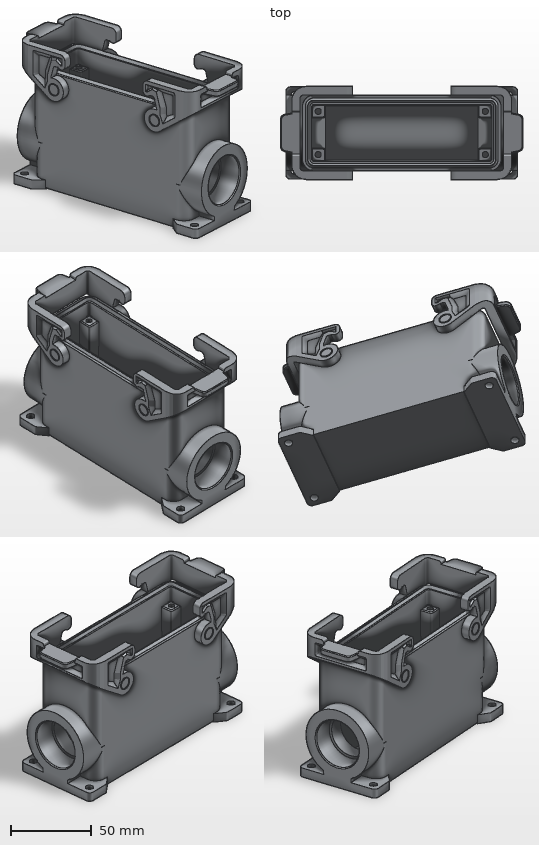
import cadquery as cq
import math

select_margin = 0.1

body_half_width = 23.45
upper_half_length = 61.5
lower_half_length = 60.0
upper_corner_radius = 7.1
lower_corner_radius = 7.5
body_bottom = 0.9
body_split = 30.3
body_top = 81.3
rim_height = 79.6
bead_inset = 1.8
bead_corner_radius = 5.3
bead_taper = 39.0
lip_inset = 3.3
lip_bottom = 79.3
lip_taper = 32.0
lip_corner_radius = 4.0

cavity_half_length = 55.9
cavity_half_width = 17.7
floor_half_width = 16.6
floor_half_length = 47.2
floor_height = 4.0
cavity_corner_radius = 2.5
block_top = 47.5
ramp_rise = 3.5
post_top = 68.8
post_inner_y = 9.3
post_corner_radius = 1.5
post_chamfer = 0.7
post_hole_x = 51.8
post_hole_y = 13.4
post_hole_radius = 1.9
post_hole_depth = 12.0

entry_end = 71.85
entry_height = 30.0
entry_radius = 23.4
entry_root = 52.0
bore_radius = 15.8
bore_end = 57.2
through_radius = 14.0
bore_chamfer = 0.7
neck_half_width = 10.2
neck_fillet = 1.2
neck_top = 12.0

foot_height = 6.2
foot_half_width = 28.65
foot_corner_radius = 3.0
foot_shoulder_x = 56.6
foot_inner_x = 49.6
foot_shoulder_radius = 2.5
foot_hole_x = 66.2
foot_hole_y = 23.1
foot_hole_radius = 2.5

lever_half_width = 29.0
lever_end = 68.1
lever_inner_end = 63.0
lever_top = 96.9
lever_corner_radius = 9.0
lever_facet_start_x = 64.1
lever_facet_end_x = 61.8
lever_facet_end_y = 28.4
lever_inner_radius = 2.0
lever_slope = math.radians(35.2)
pivot_x = 39.2
pivot_z = 71.7
pivot_radius = 7.65
pin_radius = 4.0
pin_gap = 0.35
pin_gap_depth = 0.4
hook_tip_x = 30.4
hook_radius = 3.8
side_pocket_depth = 2.2
side_pocket_radius = 2.2
end_pocket_radius = 1.8
tip_pocket_depth = 1.2

tab_end = 75.25
tab_top = 94.8
tab_bottom = 90.6
tab_tip_half_width = 11.1
tab_root_half_width = 13.3
tab_corner_radius = 3.6
tab_edge = 0.6
notch_half_width = 12.9
notch_edge_radius = 1.6
end_pocket_depth = 2.4


def rounded_block(half_length, half_width, radius, bottom, top):
    """Block centred on the Z axis with rounded upright edges."""
    block = cq.Workplane("XY").workplane(offset=bottom)
    block = block.rect(2 * half_length, 2 * half_width).extrude(top - bottom)
    return block.edges("|Z").fillet(radius)


def tapered_block(half_length, half_width, radius, start, end, taper):
    """Rounded block that narrows from its start height to its end height."""
    outline = cq.Sketch().rect(2 * half_length, 2 * half_width).vertices().fillet(radius)
    base = cq.Workplane("XY").workplane(offset=start).placeSketch(outline)
    return base.extrude(end - start, taper=taper)


def both_ends(shape):
    """A +X shape together with its mirror image at -X."""
    return shape.union(shape.mirror("YZ"))


def both_sides(shape):
    """A +Y shape together with its mirror image at -Y."""
    return shape.union(shape.mirror("XZ"))


def extrude_y(sketch, start, end):
    """Solid from an XZ outline, spanning start to end along Y."""
    return sketch.extrude(end - start).translate((0, end, 0))


def x_cylinder(radius, start, end):
    """Cylinder on the axis of the cable entry."""
    disc = cq.Workplane("YZ", origin=(start, 0, entry_height))
    return disc.circle(radius).extrude(end - start)


def tapered_pocket(plane, mouth, floor, depth):
    """Pocket cutter that narrows from its mouth outline to its floor outline."""
    sketch = plane.polyline(mouth).close().workplane(offset=-depth)
    return sketch.polyline(floor).close().loft(ruled=True)


def make_body():
    lower = rounded_block(lower_half_length, body_half_width, lower_corner_radius, body_bottom, body_split)
    upper = rounded_block(upper_half_length, body_half_width, upper_corner_radius, body_split, rim_height)
    bead = tapered_block(
        upper_half_length - bead_inset,
        body_half_width - bead_inset,
        bead_corner_radius,
        rim_height,
        body_top,
        bead_taper,
    )
    return lower.union(upper).union(bead)


def make_foot():
    points = [
        (entry_end, -foot_half_width),
        (entry_end, foot_half_width),
        (foot_shoulder_x, foot_half_width),
        (foot_inner_x, body_half_width),
        (foot_inner_x, -body_half_width),
        (foot_shoulder_x, -foot_half_width),
    ]
    foot = cq.Workplane("XY").polyline(points).close().extrude(foot_height)
    foot = foot.edges("|Z and >X").fillet(foot_corner_radius)
    foot = foot.edges("|Z and (>Y or <Y)").edges("<X").fillet(foot_shoulder_radius)
    holes = cq.Workplane("XY").pushPoints([(foot_hole_x, foot_hole_y), (foot_hole_x, -foot_hole_y)])
    return foot.cut(holes.circle(foot_hole_radius).extrude(foot_height))


def make_entry():
    boss = x_cylinder(entry_radius, entry_root, entry_end)
    neck = cq.Workplane("XY").workplane(offset=foot_height)
    neck = neck.center((entry_root + entry_end) / 2, 0)
    neck = neck.rect(entry_end - entry_root, 2 * neck_half_width).extrude(neck_top - foot_height)
    entry = boss.union(neck)
    corner_z = entry_height - math.sqrt(entry_radius**2 - neck_half_width**2)
    corners = cq.selectors.BoxSelector(
        (entry_root, -entry_radius, corner_z - select_margin),
        (entry_end, entry_radius, corner_z + select_margin),
    )
    return entry.edges("|X").edges(corners).fillet(neck_fillet)


def make_bore():
    bore = x_cylinder(bore_radius, bore_end, entry_end)
    through = x_cylinder(through_radius, floor_half_length, entry_end)
    mouth = cq.Workplane("YZ", origin=(entry_end, 0, entry_height)).circle(bore_radius + bore_chamfer)
    mouth = mouth.workplane(offset=-bore_chamfer).circle(bore_radius).loft()
    return bore.union(through).union(mouth)


def make_cavity():
    lip = tapered_block(
        upper_half_length - lip_inset,
        body_half_width - lip_inset,
        lip_corner_radius,
        body_top,
        lip_bottom,
        lip_taper,
    )
    upper = rounded_block(cavity_half_length, cavity_half_width, cavity_corner_radius, post_top, body_top)
    lower_half = [
        (0, floor_height),
        (floor_half_length, floor_height),
        (floor_half_length, block_top),
        (cavity_half_length, block_top + ramp_rise),
        (cavity_half_length, post_top),
        (0, post_top),
    ]
    lower_sketch = cq.Workplane("XZ").polyline(lower_half).close()
    lower = extrude_y(lower_sketch, -body_half_width, body_half_width)
    section = [
        (-floor_half_width, floor_height),
        (floor_half_width, floor_height),
        (cavity_half_width, post_top),
        (-cavity_half_width, post_top),
    ]
    drafted = cq.Workplane("YZ").polyline(section).close().extrude(cavity_half_length, both=True)
    return both_ends(lower).intersect(drafted).union(upper).union(lip)


def make_posts():
    length = cavity_half_length - floor_half_length
    width = cavity_half_width - post_inner_y
    post = cq.Workplane("XY").workplane(offset=body_bottom)
    post = post.center(floor_half_length + length / 2, post_inner_y + width / 2)
    post = post.rect(length, width).extrude(post_top - body_bottom)
    post = post.edges("|Z and <X and <Y").fillet(post_corner_radius)
    post = post.faces(">Z").edges().chamfer(post_chamfer)
    hole = cq.Workplane("XY").workplane(offset=post_top).center(post_hole_x, post_hole_y)
    hole = hole.circle(post_hole_radius).extrude(-post_hole_depth)
    return both_ends(both_sides(post.cut(hole)))


def lever_profile():
    """Side outline of the lever: arm, round pivot eye and downward hook."""
    tangent_x = pivot_x + pivot_radius * math.sin(lever_slope)
    tangent_z = pivot_z - pivot_radius * math.cos(lever_slope)
    arm_corner_z = tangent_z + (lever_end - tangent_x) * math.tan(lever_slope)
    eye_top = pivot_z + pivot_radius
    throat_foot_x = 41.0
    throat_foot = (throat_foot_x, 80.6)
    throat_top = (39.4, 86.4)
    throat_bend = (38.8, 87.4)
    throat_roof = (37.8, 87.8)
    roof_end = (36.0, 87.7)
    lip_start = (34.4, 87.0)
    lip_low = (31.6, 87.3)
    lip_end = (hook_tip_x, 89.6)
    return (
        cq.Workplane("XZ")
        .moveTo(lever_end, lever_top)
        .lineTo(lever_end, arm_corner_z)
        .lineTo(tangent_x, tangent_z)
        .threePointArc((pivot_x - pivot_radius, pivot_z), (pivot_x, eye_top))
        .lineTo(throat_foot_x, eye_top)
        .lineTo(*throat_foot)
        .lineTo(*throat_top)
        .threePointArc(throat_bend, throat_roof)
        .lineTo(*roof_end)
        .lineTo(*lip_start)
        .threePointArc(lip_low, lip_end)
        .lineTo(hook_tip_x, lever_top - hook_radius)
        .radiusArc((hook_tip_x + hook_radius, lever_top), hook_radius)
        .close()
    )


def lever_plan():
    """Plan outline of the lever: rounded end corners that run into two flat facets each."""
    centre_x = lever_end - lever_corner_radius
    centre_y = lever_half_width - lever_corner_radius
    facet_angle = math.acos((lever_facet_start_x - centre_x) / lever_corner_radius)
    facet_start_y = centre_y + lever_corner_radius * math.sin(facet_angle)
    mid_x = centre_x + lever_corner_radius * math.cos(facet_angle / 2)
    mid_y = centre_y + lever_corner_radius * math.sin(facet_angle / 2)
    half = (
        cq.Workplane("XY")
        .moveTo(lever_end, 0)
        .lineTo(lever_end, centre_y)
        .threePointArc((mid_x, mid_y), (lever_facet_start_x, facet_start_y))
        .lineTo(lever_facet_end_x, lever_facet_end_y)
        .lineTo(centre_x, lever_half_width)
        .lineTo(0, lever_half_width)
        .lineTo(0, 0)
    )
    return half.mirrorX()


def make_side_pocket():
    """Recesses in the -Y cheek of the lever: a large triangle and a small one in the hook tip."""
    mouth = [(55.3, 94.4), (40.0, 94.4), (43.8, 81.3), (43.8, 76.6), (46.0, 71.2), (55.3, 77.7)]
    floor = [(52.4, 91.3), (43.9, 91.3), (47.1, 82.0), (47.1, 77.5), (47.6, 76.0), (52.4, 78.5)]
    tip_mouth = [(42.0, 94.4), (32.6, 94.4), (32.6, 89.6), (33.6, 89.4), (37.6, 92.2), (40.8, 91.4)]
    tip_floor = [(42.0, 93.4), (33.6, 93.4), (33.4, 91.2), (33.8, 90.8), (37.2, 93.2), (41.6, 92.4)]
    face = (0, -lever_half_width, 0)
    large = tapered_pocket(cq.Workplane("XZ", origin=face), mouth, floor, side_pocket_depth)
    large = large.edges("not(#Y)").edges(">X").fillet(side_pocket_radius)
    small = tapered_pocket(cq.Workplane("XZ", origin=face), tip_mouth, tip_floor, tip_pocket_depth)
    return large.union(small)


def make_pin_gap():
    ring = cq.Workplane("XZ", origin=(pivot_x, -lever_half_width, pivot_z))
    return ring.circle(pin_radius).circle(pin_radius - pin_gap).extrude(-pin_gap_depth)


def make_end_pocket():
    mouth = [(-19.1, 84.4), (19.1, 84.4), (19.1, 93.5), (-19.1, 93.5)]
    floor = [(-16.6, 86.8), (16.6, 86.8), (16.6, 91.1), (-16.6, 91.1)]
    pocket = tapered_pocket(cq.Workplane("YZ", origin=(lever_end, 0, 0)), mouth, floor, end_pocket_depth)
    return pocket.edges("not(#X)").fillet(end_pocket_radius)


def make_tab():
    points = [
        (lever_inner_end, -tab_root_half_width),
        (tab_end, -tab_tip_half_width),
        (tab_end, tab_tip_half_width),
        (lever_inner_end, tab_root_half_width),
    ]
    tab = cq.Workplane("XY").workplane(offset=tab_bottom).polyline(points).close()
    tab = tab.extrude(tab_top - tab_bottom)
    tab = tab.edges("|Z and >X").fillet(tab_corner_radius)
    return tab.faces(">Z or <Z").edges("not(<X)").chamfer(tab_edge)


def make_lever():
    """U-shaped lever that wraps the +X end of the body."""
    outline = extrude_y(lever_profile(), -lever_half_width, lever_half_width)
    outer = lever_plan().extrude(lever_top)
    inner = rounded_block(lever_inner_end, body_half_width, lever_inner_radius, 0, lever_top)
    lever = outline.intersect(outer).cut(inner)
    lever = lever.cut(both_sides(make_side_pocket().union(make_pin_gap())))
    lever = lever.cut(make_end_pocket())
    notch = cq.Workplane("XY").workplane(offset=tab_top).center(lever_end, 0)
    notch = notch.rect(2 * (lever_end - lever_inner_end), 2 * notch_half_width).extrude(lever_top - tab_top)
    lever = lever.cut(notch)
    brows = cq.selectors.BoxSelector(
        (lever_inner_end, -notch_half_width - select_margin, lever_top - select_margin),
        (lever_end, notch_half_width + select_margin, lever_top + select_margin),
    )
    lever = lever.edges("|X").edges(brows).fillet(notch_edge_radius)
    return lever.union(make_tab())


def make_housing():
    housing = make_body().union(both_ends(make_foot().union(make_entry())))
    housing = housing.cut(make_cavity()).union(make_posts())
    return housing.cut(both_ends(make_bore()))


result = make_housing().union(both_ends(make_lever()))